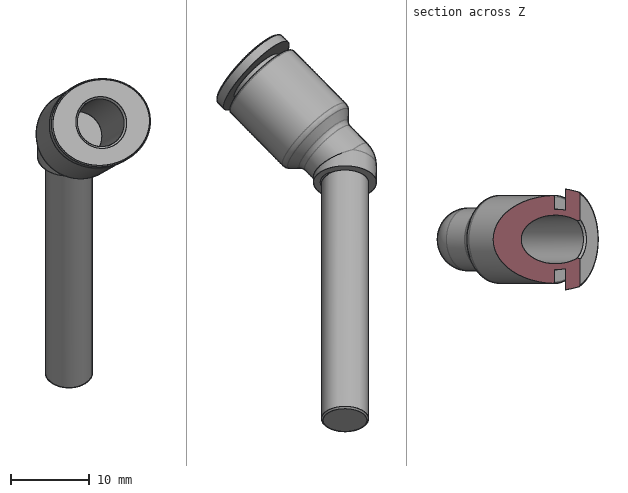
import cadquery as cq

stem_diameter = 6.0
stem_chamfer = 0.2
elbow_diameter = 8.0
collar_bottom = 35.45
bend_height = 37.95
socket_tilt = 45.0

body_diameter = 11.2
shoulder_start = 3.65
shoulder_fillet = 1.0
body_end = 15.5
body_end_fillet = 0.2

neck_diameter = 7.7
flange_start = 16.45
flange_end = 17.8
flange_long_diameter = 13.0
flange_short_diameter = 11.2
flange_chamfer = 0.15

bore_diameter = 6.1
bore_mouth_chamfer = 0.25

elbow_radius = elbow_diameter / 2
body_radius = body_diameter / 2
shoulder_end = shoulder_start + body_radius - elbow_radius


def disc(diameter, bottom, top):
    """Cylinder on the Z axis between two heights."""
    return cq.Workplane("XY").workplane(offset=bottom).circle(diameter / 2).extrude(top - bottom)


def make_stem():
    """Upright stem with its collar and the dome that rounds the bend."""
    stem = disc(stem_diameter, 0, bend_height).faces("<Z").chamfer(stem_chamfer)
    collar = disc(elbow_diameter, collar_bottom, bend_height)
    dome = cq.Workplane("XY").sphere(elbow_radius, angle1=0, angle2=90).translate((0, 0, bend_height))
    return stem.union(collar).union(dome)


def make_socket_body():
    """Revolved socket: elbow tube, conical shoulder and body, along +Z from the bend."""
    profile = (
        cq.Workplane("XZ")
        .lineTo(elbow_radius, 0)
        .lineTo(elbow_radius, shoulder_start)
        .lineTo(body_radius, shoulder_end)
        .lineTo(body_radius, body_end)
        .lineTo(0, body_end)
        .close()
    )
    body = profile.revolve(360, (0, 0, 0), (0, 1, 0))
    body = body.faces("%CONE").edges("%CIRCLE").fillet(shoulder_fillet)
    return body.faces(">Z").edges().fillet(body_end_fillet)


def make_button():
    """Round neck carrying an oval flange that is wider along Y."""
    flange = (
        cq.Workplane("XY")
        .workplane(offset=flange_start)
        .ellipse(flange_short_diameter / 2, flange_long_diameter / 2)
        .extrude(flange_end - flange_start)
        .faces(">Z")
        .chamfer(flange_chamfer)
    )
    return disc(neck_diameter, body_end, flange_start).union(flange)


def make_bore():
    """Blind tube bore reaching the shoulder, widened at the mouth."""
    mouth = (
        cq.Workplane("XY")
        .workplane(offset=flange_end - bore_mouth_chamfer)
        .circle(bore_diameter / 2)
        .workplane(offset=bore_mouth_chamfer)
        .circle(bore_diameter / 2 + bore_mouth_chamfer)
        .loft()
    )
    return disc(bore_diameter, shoulder_end, flange_end).union(mouth)


def lean(shape):
    """Tilt a shape built along Z toward +X and seat it on the bend point."""
    return shape.rotate((0, 0, 0), (0, 1, 0), socket_tilt).translate((0, 0, bend_height))


socket = make_socket_body().union(make_button()).cut(make_bore())
result = make_stem().union(lean(socket))